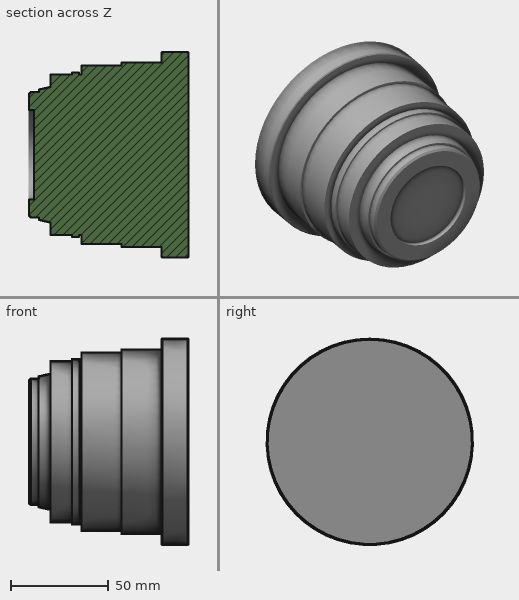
import cadquery as cq

nose_end = 5.0
cone_end = 11.0
shoulder_end = 22.0
collar_end = 25.95
neck_end = 26.95
front_sleeve_end = 47.5
rear_sleeve_end = 68.0
overall_length = 82.0

recess_radius = 23.0
nose_radius = 32.5
cone_small_radius = 33.63
cone_large_radius = 35.0
shoulder_radius = 41.5
collar_radius = 42.5
front_sleeve_radius = 46.0
rear_sleeve_radius = 47.5
flange_radius = 53.0

recess_depth = 2.5
nose_chamfer = 1.0
flange_chamfer = 0.5


def frustum(start, end, start_radius, end_radius):
    """Solid of revolution about X with straight sides between two stations."""
    half_section = [(start, 0), (start, start_radius), (end, end_radius), (end, 0)]
    return cq.Workplane("XZ").polyline(half_section).close().revolve(360, (0, 0), (1, 0))


def cylinder(start, end, radius):
    return frustum(start, end, radius, radius)


def make_nose():
    return cylinder(0, nose_end, nose_radius).faces("<X").edges().chamfer(nose_chamfer)


def make_flange():
    flange = cylinder(rear_sleeve_end, overall_length, flange_radius)
    return flange.faces("<X or >X").edges().chamfer(flange_chamfer)


def make_body():
    stages = [
        frustum(nose_end, cone_end, cone_small_radius, cone_large_radius),
        cylinder(cone_end, shoulder_end, shoulder_radius),
        cylinder(shoulder_end, collar_end, collar_radius),
        cylinder(collar_end, neck_end, shoulder_radius),
        cylinder(neck_end, front_sleeve_end, front_sleeve_radius),
        cylinder(front_sleeve_end, rear_sleeve_end, rear_sleeve_radius),
        make_flange(),
    ]
    body = make_nose()
    for stage in stages:
        body = body.union(stage)
    return body


result = make_body().cut(cylinder(0, recess_depth, recess_radius))